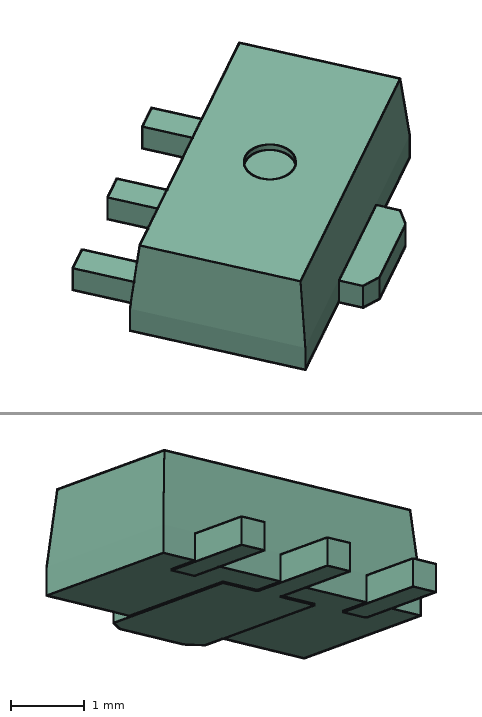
import cadquery as cq

body_length = 4.5
body_width = 2.5
standoff = 0.02
base_height = 0.4
overall_height = 1.52
cap_inset = 0.105
body_left = -body_width / 2
body_right = body_width / 2

metal_thickness = 0.4
lead_width = 0.4
lead_reach = 1.0
lead_pitch = 1.5
tab_width = 1.6
tab_reach = 0.5
plate_inset = 0.5
plate_left = body_left + plate_inset
tab_corner_x = 0.158
tab_corner_y = 0.24

recess_diameter = 0.7
recess_depth = 0.1


def make_body():
    base_top = standoff + base_height
    base = (
        cq.Workplane("XY", origin=(0, 0, standoff))
        .rect(body_width, body_length)
        .extrude(base_height)
    )
    cap = (
        cq.Workplane("XY", origin=(0, 0, base_top))
        .rect(body_width, body_length)
        .workplane(offset=overall_height - base_top)
        .rect(body_width - 2 * cap_inset, body_length - 2 * cap_inset)
        .loft(ruled=True)
    )
    return base.union(cap, clean=False)


def make_lead(center_y, inner_end):
    outer_end = body_left - lead_reach
    return (
        cq.Workplane("XY")
        .center((outer_end + inner_end) / 2, center_y)
        .rect(inner_end - outer_end, lead_width)
        .extrude(metal_thickness)
    )


def make_tab():
    """Heat-sink plate under the body, ending in a tab with clipped corners."""
    tab_end = body_right + tab_reach
    half_width = tab_width / 2
    return (
        cq.Workplane("XY")
        .moveTo(plate_left, -half_width)
        .lineTo(tab_end - tab_corner_x, -half_width)
        .lineTo(tab_end, -half_width + tab_corner_y)
        .lineTo(tab_end, half_width - tab_corner_y)
        .lineTo(tab_end - tab_corner_x, half_width)
        .lineTo(plate_left, half_width)
        .close()
        .extrude(metal_thickness)
    )


def make_recess():
    return (
        cq.Workplane("XY", origin=(0, 0, overall_height - recess_depth))
        .circle(recess_diameter / 2)
        .extrude(recess_depth)
    )


result = make_body().union(make_tab())
for lead_index in (-1, 0, 1):
    result = result.union(make_lead(lead_index * lead_pitch, plate_left))
result = result.cut(make_recess())